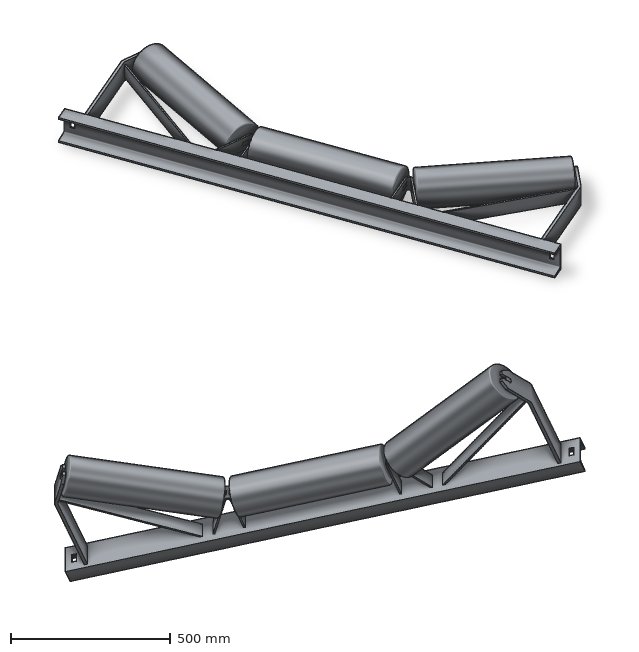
import cadquery as cq
import math

beam_length = 1700.0
beam_depth = 100.0
beam_width = 50.0
web_thickness = 6.0
flange_mean_thickness = 8.8
flange_slope = 0.08
flange_root_radius = 8.0
bolt_slot_width = 15.0
bolt_slot_length = 30.0
bolt_slot_end_distance = 29.0

tilt_angle = 30.0
roller_diameter = 133.0
roller_length = 500.0
roller_edge_radius = 5.0
middle_roller_y = 170.0
side_roller_x = 510.0
overall_height = 485.0
shaft_diameter = 24.0
shaft_flat_width = 15.0

outer_bracket_width = 76.0
outer_plate_thickness = 10.0
outer_bracket_x = 787.0
outer_bend_y = 354.0
outer_bend_radius = 20.0
outer_tip_length = 122.0
tip_chamfer_length = 25.0
tip_chamfer_width = 17.0

inner_bracket_width = 51.0
inner_plate_thickness = 6.0
inner_bracket_x = 255.0
inner_top_y = 199.0
inner_fold_radius = 14.0

strut_thickness = 6.0
strut_width = 51.0
strut_foot_x = 396.0
strut_rise = 8.0

tilt = math.radians(tilt_angle)
tilt_sin = math.sin(tilt)
tilt_cos = math.cos(tilt)
roller_radius = roller_diameter / 2

edge_along_axis = roller_length / 2 - roller_edge_radius
edge_across_axis = roller_radius - roller_edge_radius
edge_rise = edge_along_axis * tilt_sin + edge_across_axis * tilt_cos + roller_edge_radius
side_roller_y = overall_height - edge_rise

inner_corner_x = -outer_bracket_x + outer_plate_thickness
inner_corner_y = outer_bend_y - outer_plate_thickness * math.tan(tilt / 2)

fold_x = -inner_bracket_x - inner_fold_radius
fold_y = inner_top_y - inner_fold_radius


def distance_along_side_axis(x, y):
    """Distance from the middle of the -X tilted roller, along its axis towards the beam end."""
    return (-side_roller_x - x) * tilt_cos + (y - side_roller_y) * tilt_sin


middle_shaft_end = inner_bracket_x + inner_plate_thickness
side_shaft_outer_end = distance_along_side_axis(-outer_bracket_x, outer_bend_y)
fold_bore_radius = inner_fold_radius - inner_plate_thickness
side_shaft_inner_end = -distance_along_side_axis(fold_x, fold_y) - fold_bore_radius


def place_side(body):
    """Move a body built along X at the origin onto the axis of the -X tilted roller."""
    return body.rotate((0, 0, 0), (0, 0, 1), -tilt_angle).translate((-side_roller_x, side_roller_y, 0))


def mirror_to_right(body):
    return body.mirror("YZ")


def make_beam():
    half_depth = beam_depth / 2
    taper = flange_slope * beam_width / 2
    tip_z = half_depth - flange_mean_thickness + taper
    root_z = half_depth - flange_mean_thickness - taper + flange_slope * web_thickness
    web_inner_y = beam_width - web_thickness
    outline = [
        (beam_width, -half_depth),
        (beam_width, half_depth),
        (0, half_depth),
        (0, tip_z),
        (web_inner_y, root_z),
        (web_inner_y, -root_z),
        (0, -tip_z),
        (0, -half_depth),
    ]
    beam = cq.Workplane("YZ", origin=(-beam_length / 2, 0, 0)).polyline(outline).close().extrude(beam_length)
    for root_side in (1, -1):
        root = cq.selectors.NearestToPointSelector((0, web_inner_y, root_side * root_z))
        beam = beam.edges("|X").edges(root).fillet(flange_root_radius)

    slot_x = beam_length / 2 - bolt_slot_end_distance
    slots = (
        cq.Workplane("XZ")
        .pushPoints([(-slot_x, 0), (slot_x, 0)])
        .rect(bolt_slot_width, bolt_slot_length)
        .extrude(-beam_width)
    )
    return beam.cut(slots)


def make_shaft(left_end, right_end):
    """Shaft along X with two flats facing +Z and -Z, reaching the given distances each way."""
    length = left_end + right_end
    rod = cq.Workplane("YZ", origin=(-left_end, 0, 0)).circle(shaft_diameter / 2).extrude(length)
    flats = cq.Workplane("XY").box(2 * length, shaft_diameter, shaft_flat_width)
    return rod.intersect(flats)


def make_roller(left_end, right_end):
    """Roller along X centred on the origin, in one piece with its shaft."""
    shell = (
        cq.Workplane("YZ", origin=(-roller_length / 2, 0, 0))
        .circle(roller_radius)
        .extrude(roller_length)
        .edges("%CIRCLE")
        .fillet(roller_edge_radius)
    )
    return shell.union(make_shaft(left_end, right_end))


def make_seat_slot(left_end, right_end, opening):
    """Cutter for a shaft and the slot above it, through which the shaft drops into its bracket."""
    length = left_end + right_end
    slot = (
        cq.Workplane("XY", origin=((right_end - left_end) / 2, opening / 2, 0))
        .box(length, opening, shaft_flat_width)
    )
    return make_shaft(left_end, right_end).union(slot)


def make_outer_bracket():
    tip_x = -outer_bracket_x + outer_tip_length * tilt_sin
    tip_y = outer_bend_y + outer_tip_length * tilt_cos
    outline = [
        (-outer_bracket_x, beam_width),
        (-outer_bracket_x, outer_bend_y),
        (tip_x, tip_y),
        (tip_x + outer_plate_thickness * tilt_cos, tip_y - outer_plate_thickness * tilt_sin),
        (inner_corner_x, inner_corner_y),
        (inner_corner_x, beam_width),
    ]
    plate = cq.Workplane("XY").polyline(outline).close().extrude(outer_bracket_width / 2, both=True)
    bends = [
        (-outer_bracket_x, outer_bend_y, outer_bend_radius),
        (inner_corner_x, inner_corner_y, outer_bend_radius - outer_plate_thickness),
    ]
    for bend_x, bend_y, radius in bends:
        corner = cq.selectors.NearestToPointSelector((bend_x, bend_y, 0))
        plate = plate.edges("|Z").edges(corner).fillet(radius)

    tip_plane = cq.Plane(origin=(tip_x, tip_y, 0), xDir=(0, 0, 1), normal=(tilt_cos, -tilt_sin, 0))
    half_width = outer_bracket_width / 2
    for side in (1, -1):
        corner_cut = (
            cq.Workplane(tip_plane)
            .polyline([
                (side * half_width, 0),
                (side * (half_width - tip_chamfer_width), 0),
                (side * half_width, tip_chamfer_length),
            ])
            .close()
            .extrude(outer_plate_thickness)
        )
        plate = plate.cut(corner_cut)

    slot = make_seat_slot(side_shaft_outer_end, 0, outer_tip_length)
    return plate.cut(place_side(slot))


def make_inner_bracket():
    def tilted_leg(radius):
        """Start of a face of the tilted leg at the fold, and its end at the beam."""
        start_x = fold_x - radius * tilt_cos
        start_y = fold_y + radius * tilt_sin
        foot_x = start_x - (start_y - beam_width) * math.tan(tilt)
        return (start_x, start_y), (foot_x, beam_width)

    outer_start, outer_foot = tilted_leg(inner_fold_radius)
    inner_start, inner_foot = tilted_leg(fold_bore_radius)
    plate = (
        cq.Workplane("XY")
        .moveTo(-inner_bracket_x, beam_width)
        .lineTo(-inner_bracket_x, fold_y)
        .threePointArc((fold_x, inner_top_y), outer_start)
        .lineTo(*outer_foot)
        .lineTo(*inner_foot)
        .lineTo(*inner_start)
        .threePointArc((fold_x, fold_y + fold_bore_radius), (fold_x + fold_bore_radius, fold_y))
        .lineTo(fold_x + fold_bore_radius, beam_width)
        .close()
        .extrude(inner_bracket_width / 2, both=True)
    )
    middle_slot = make_seat_slot(middle_shaft_end, 0, inner_top_y)
    side_slot = make_seat_slot(0, side_shaft_inner_end, inner_top_y)
    return plate.cut(middle_slot.translate((0, middle_roller_y, 0))).cut(place_side(side_slot))


def make_strut(outer_bracket):
    head_y = inner_corner_y + strut_rise
    slope = (head_y - beam_width) / (strut_foot_x + inner_corner_x)
    drop = strut_thickness * math.hypot(1, slope)
    head_x = inner_corner_x
    outline = [
        (head_x, head_y),
        (-strut_foot_x, beam_width),
        (-strut_foot_x + drop / slope, beam_width),
        (head_x, head_y - drop),
    ]
    bar = cq.Workplane("XY").polyline(outline).close().extrude(strut_width / 2, both=True)
    return bar.cut(outer_bracket)


beam = make_beam()
middle_roller = make_roller(middle_shaft_end, middle_shaft_end).translate((0, middle_roller_y, 0))
side_roller = place_side(make_roller(side_shaft_outer_end, side_shaft_inner_end))
outer_bracket = make_outer_bracket()
inner_bracket = make_inner_bracket()
strut = make_strut(outer_bracket)

bodies = [beam.solids().val(), middle_roller.solids().val()]
for left_body in (side_roller, outer_bracket, inner_bracket, strut):
    bodies.append(left_body.solids().val())
    bodies.append(mirror_to_right(left_body).solids().val())

result = cq.Compound.makeCompound(bodies)